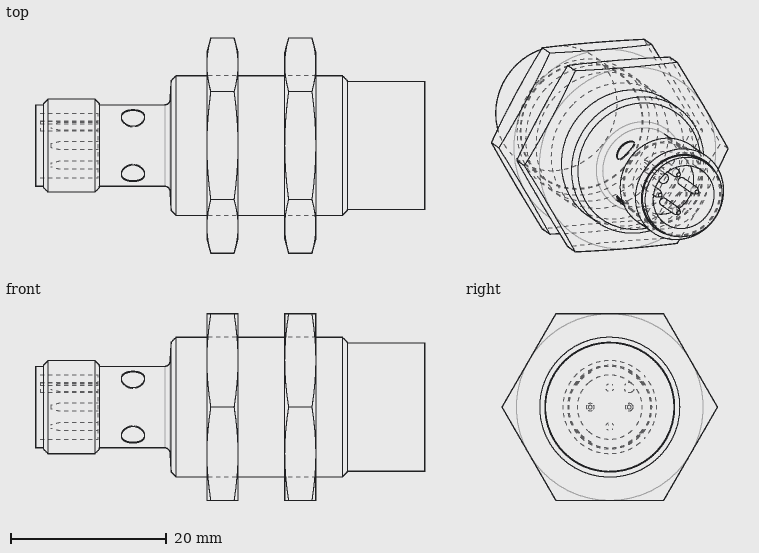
import cadquery as cq
import math

total_length = 49.95
ring_start = 1
ring_end = 8.2
shoulder_start = 17.4
barrel_end = 40.05
ring_chamfer = 0.6
barrel_chamfer = 0.65

ring_radius = 6
neck_radius = 5.25
barrel_radius = 9
cap_radius = 8.25

flare_size = 0.65
flare_start = 16.6
flare_end = flare_start + flare_size

socket_radius = 4.15
socket_depth = 8
pin_radius = 0.5
pin_tip_radius = 0.25
pin_taper = 1
pin_offset = 2.5
pin_count = 4
pin_inset = 2
key_radius = 0.65
key_inset = 0.65

window_diameter = 3
window_x = 12.5
window_count = 4
window_floor_radius = 5.1

nut_width = 24
nut_thickness = 4
nut_starts = (22, 32)
nut_corner_radius = nut_width / math.sqrt(3)
nut_chamfer_depth = 0.5


def revolve_about_x(profile):
    return profile.close().revolve(360, (0, 0, 0), (1, 0, 0))


def rod(start, end, radius, y=0, z=0):
    return cq.Workplane("YZ", origin=(start, y, z)).circle(radius).extrude(end - start)


def make_shell():
    """Stepped outside shape of the sensor."""
    arc_mid_x = flare_start + flare_size * math.sin(math.pi / 4)
    arc_mid_radius = neck_radius + flare_size * (1 - math.cos(math.pi / 4))
    profile = (
        cq.Workplane("XY")
        .lineTo(0, neck_radius)
        .lineTo(ring_start, neck_radius)
        .lineTo(ring_start, ring_radius - ring_chamfer)
        .lineTo(ring_start + ring_chamfer, ring_radius)
        .lineTo(ring_end - ring_chamfer, ring_radius)
        .lineTo(ring_end, ring_radius - ring_chamfer)
        .lineTo(ring_end, neck_radius)
        .lineTo(flare_start, neck_radius)
        .threePointArc((arc_mid_x, arc_mid_radius), (flare_end, neck_radius + flare_size))
        .lineTo(shoulder_start, barrel_radius - barrel_chamfer)
        .lineTo(shoulder_start + barrel_chamfer, barrel_radius)
        .lineTo(barrel_end - barrel_chamfer, barrel_radius)
        .lineTo(barrel_end, barrel_radius - barrel_chamfer)
        .lineTo(barrel_end, cap_radius)
        .lineTo(total_length, cap_radius)
        .lineTo(total_length, 0)
    )
    return revolve_about_x(profile)


def make_pin():
    """Contact pin on the axis with a tapered tip, rooted in the socket floor."""
    profile = (
        cq.Workplane("XY")
        .moveTo(pin_inset, 0)
        .lineTo(pin_inset, pin_tip_radius)
        .lineTo(pin_inset + pin_taper, pin_radius)
        .lineTo(socket_depth, pin_radius)
        .lineTo(socket_depth, 0)
    )
    return revolve_about_x(profile)


def make_socket_cut():
    """Plug cavity, leaving the pins and the coding rib standing."""
    key = rod(key_inset, socket_depth, key_radius, pin_offset, pin_offset)
    cut = rod(0, socket_depth, socket_radius).cut(key)
    for i in range(pin_count):
        angle = 2 * math.pi * i / pin_count
        place = (0, pin_offset * math.cos(angle), pin_offset * math.sin(angle))
        cut = cut.cut(make_pin().translate(place))
    return cut


def cut_windows(body):
    """Recesses at the four diagonals of the neck, with floors that follow its curve."""
    window_radius = window_diameter / 2
    core = rod(window_x - window_radius, window_x + window_radius, window_floor_radius)
    for i in range(window_count):
        window = (
            cq.Workplane("XY", origin=(window_x, 0, 0))
            .circle(window_radius)
            .extrude(neck_radius)
            .cut(core)
        )
        angle = 45 + 360 * i / window_count
        body = body.cut(window.rotate((0, 0, 0), (1, 0, 0), angle))
    return body


def make_sensor():
    body = make_shell().cut(make_socket_cut())
    return cut_windows(body)


def make_nut(start):
    """Hexagon nut with corners along Y, both faces chamfered, bored to fit the barrel."""
    hexagon = (
        cq.Workplane("YZ", origin=(start, 0, 0))
        .polygon(6, 2 * nut_corner_radius)
        .extrude(nut_thickness)
    )
    end = start + nut_thickness
    face_radius = nut_width / 2
    envelope = revolve_about_x(
        cq.Workplane("XY")
        .moveTo(start, 0)
        .lineTo(start, face_radius)
        .lineTo(start + nut_chamfer_depth, nut_corner_radius)
        .lineTo(end - nut_chamfer_depth, nut_corner_radius)
        .lineTo(end, face_radius)
        .lineTo(end, 0)
    )
    return hexagon.intersect(envelope).cut(rod(start, end, barrel_radius))


sensor = make_sensor()
nuts = [make_nut(start) for start in nut_starts]

result = cq.Compound.makeCompound([sensor.val(), *[nut.val() for nut in nuts]])